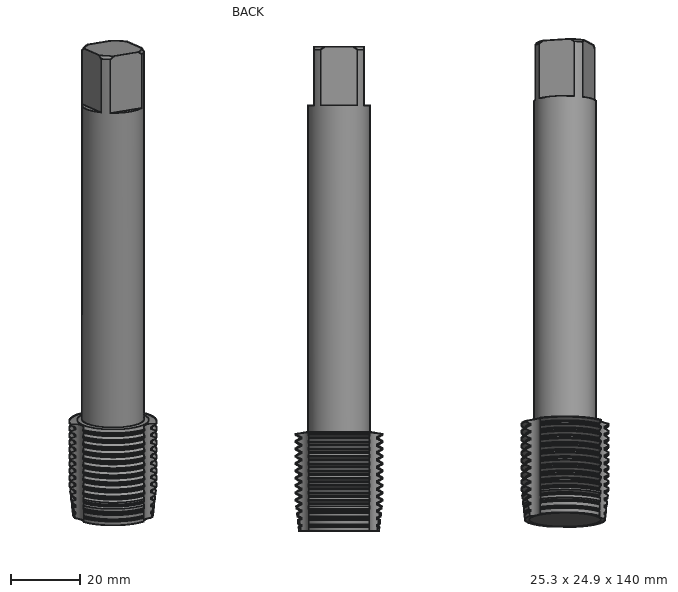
import cadquery as cq
import math

TOTAL_LENGTH = 140.0
HEAD_LENGTH = 28.7
SQUARE_LENGTH = 17.0

SHANK_RADIUS = 18.0 / 2
SQUARE_WIDTH = 14.5
TIP_CHAMFER_WIDTH = 0.7
TIP_CHAMFER_HEIGHT = 0.8

CORE_RADIUS = 10.4
SHOULDER_SLOPE = math.radians(10)

CREST_RADIUS = 25.3 / 2
ROOT_RADIUS = 11.5
PITCH = 2.11
CREST_FLAT = 0.3
ROOT_FLAT = 0.4
FIRST_CREST_HEIGHT = 0.49
LEAD_HEIGHT = 9.1
LEAD_TIP_RADIUS = 11.6

FLUTE_COUNT = 3
FLUTE_FIRST_ANGLE = -90.0
FLUTE_RADIUS = 4.3
FLUTE_FLOOR = 10.71


def shoulder_height(radius):
    """Height of the conical shoulder at a given radius."""
    return HEAD_LENGTH - (radius - SHANK_RADIUS) * math.tan(SHOULDER_SLOPE)


def revolve_profile(points):
    """Turn a closed (radius, height) outline into a solid around the Z axis."""
    return cq.Workplane("XZ").polyline(points).close().revolve(360, (0, 0), (0, 1))


def make_shank():
    """Round shank and core in one piece, with a chamfered driving square on top."""
    shank = revolve_profile([
        (0, 0),
        (CORE_RADIUS, 0),
        (CORE_RADIUS, shoulder_height(CORE_RADIUS)),
        (SHANK_RADIUS, HEAD_LENGTH),
        (SHANK_RADIUS, TOTAL_LENGTH - TIP_CHAMFER_HEIGHT),
        (SHANK_RADIUS - TIP_CHAMFER_WIDTH, TOTAL_LENGTH),
        (0, TOTAL_LENGTH),
    ])
    around_square = (
        cq.Workplane("XY")
        .workplane(offset=TOTAL_LENGTH - SQUARE_LENGTH)
        .circle(2 * SHANK_RADIUS)
        .rect(SQUARE_WIDTH, SQUARE_WIDTH)
        .extrude(SQUARE_LENGTH)
    )
    return shank.cut(around_square)


def make_thread_blank():
    """Plain sleeve with the tapered lead, before grooves and flutes are cut."""
    return revolve_profile([
        (CORE_RADIUS, 0),
        (LEAD_TIP_RADIUS, 0),
        (CREST_RADIUS, LEAD_HEIGHT),
        (CREST_RADIUS, shoulder_height(CREST_RADIUS)),
        (CORE_RADIUS, shoulder_height(CORE_RADIUS)),
    ])


def make_groove(height):
    """Ring with a V section and a flat root, centred on the given height."""
    half_root = ROOT_FLAT / 2
    half_mouth = (PITCH - CREST_FLAT) / 2
    return revolve_profile([
        (ROOT_RADIUS, height - half_root),
        (ROOT_RADIUS, height + half_root),
        (CREST_RADIUS, height + half_mouth),
        (CREST_RADIUS, height - half_mouth),
    ])


def make_flute(angle):
    """Round-bottomed cutter for one flute, running the length of the sleeve."""
    return (
        cq.Workplane("XY")
        .center(FLUTE_FLOOR + FLUTE_RADIUS, 0)
        .circle(FLUTE_RADIUS)
        .extrude(HEAD_LENGTH)
        .rotate((0, 0, 0), (0, 0, 1), angle)
    )


def make_thread_sleeve():
    """Fluted cutting sleeve fitted around the core."""
    sleeve = make_thread_blank()
    groove_count = int((HEAD_LENGTH - FIRST_CREST_HEIGHT) / PITCH)
    for index in range(groove_count):
        sleeve = sleeve.cut(make_groove(FIRST_CREST_HEIGHT + (index + 0.5) * PITCH))
    for index in range(FLUTE_COUNT):
        sleeve = sleeve.cut(make_flute(FLUTE_FIRST_ANGLE + index * 360 / FLUTE_COUNT))
    return sleeve


shank = make_shank()
thread_sleeve = make_thread_sleeve()

result = cq.Compound.makeCompound([shank.val(), thread_sleeve.val()])